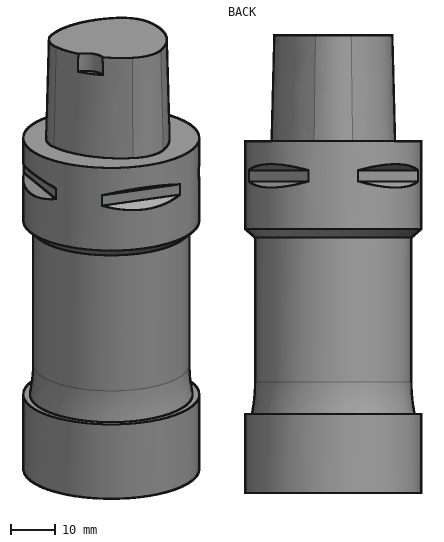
import cadquery as cq
import math

COLLAR_TOP = 18.0
FLARE_TOP = 25.3
FLANGE_LENGTH = 20.0
SHANK_LENGTH = 24.0
TOTAL_LENGTH = 104.0
SHANK_BASE = TOTAL_LENGTH - SHANK_LENGTH
FLANGE_BOTTOM = SHANK_BASE - FLANGE_LENGTH

OUTER_RADIUS = 40.0 / 2
NECK_RADIUS = 35.6 / 2
FLARE_RADIUS = 37.4
FLANGE_CHAMFER_HEIGHT = 2.0

LOBE_COUNT = 3
LOBE_OFFSET = 6.1
LOBE_RADIUS_BASE = 8.7
LOBE_RADIUS_TOP = 8.1
LOBE_HALF_ANGLE = 30
FIRST_LOBE_ANGLE = 90
LOBE_SPACING = LOBE_OFFSET * math.sqrt(3)

NOTCH_RADIUS = 8.0 / 2
NOTCH_INNER_Y = -11.0
NOTCH_DEPTH = 4.3

GROOVE_COUNT = 4
GROOVE_FIRST_ANGLE = 45
GROOVE_HEIGHT = 72.1
GROOVE_FLOOR_DISTANCE = 17.6
GROOVE_FLOOR_WIDTH = 2.5
GROOVE_SIDE_SLOPE = 30


def polar(radius, angle):
    """Point at the given radius and angle in degrees."""
    a = math.radians(angle)
    return cq.Vector(radius * math.cos(a), radius * math.sin(a))


def make_collar():
    """Plain cylindrical collar that the adapter stands on."""
    return cq.Workplane("XY").circle(OUTER_RADIUS).extrude(COLLAR_TOP)


def make_neck_and_flange():
    """Turned neck with a concave flare at its foot and a flange at its head."""
    flare_height = FLARE_TOP - COLLAR_TOP
    flare_center_radius = NECK_RADIUS + FLARE_RADIUS
    full_angle = math.asin(flare_height / FLARE_RADIUS)
    foot_radius = flare_center_radius - FLARE_RADIUS * math.cos(full_angle)
    flare_middle = (
        flare_center_radius - FLARE_RADIUS * math.cos(full_angle / 2),
        FLARE_TOP - FLARE_RADIUS * math.sin(full_angle / 2),
    )
    return (
        cq.Workplane("XZ")
        .moveTo(0, COLLAR_TOP)
        .lineTo(foot_radius, COLLAR_TOP)
        .threePointArc(flare_middle, (NECK_RADIUS, FLARE_TOP))
        .lineTo(NECK_RADIUS, FLANGE_BOTTOM - FLANGE_CHAMFER_HEIGHT)
        .lineTo(OUTER_RADIUS, FLANGE_BOTTOM)
        .lineTo(OUTER_RADIUS, SHANK_BASE)
        .lineTo(0, SHANK_BASE)
        .close()
        .revolve(360, (0, 0, 0), (0, 1, 0))
    )


def add_lobed_outline(sketch, lobe_radius):
    """Closed outline of tangent lobe and flank arcs, with constant width."""
    flank_distance = LOBE_SPACING + lobe_radius - LOBE_OFFSET
    lobe_step = 360 / LOBE_COUNT
    start = polar(LOBE_OFFSET, FIRST_LOBE_ANGLE) + polar(lobe_radius, FIRST_LOBE_ANGLE - LOBE_HALF_ANGLE)
    sketch = sketch.moveTo(start.x, start.y)
    for i in range(LOBE_COUNT):
        tip_angle = FIRST_LOBE_ANGLE + i * lobe_step
        next_angle = tip_angle + lobe_step
        lobe_tip = polar(LOBE_OFFSET + lobe_radius, tip_angle)
        lobe_end = polar(LOBE_OFFSET, tip_angle) + polar(lobe_radius, tip_angle + LOBE_HALF_ANGLE)
        flank_middle = polar(flank_distance, tip_angle + lobe_step / 2)
        flank_end = polar(LOBE_OFFSET, next_angle) + polar(lobe_radius, next_angle - LOBE_HALF_ANGLE)
        sketch = sketch.threePointArc(lobe_tip.toTuple()[:2], lobe_end.toTuple()[:2])
        sketch = sketch.threePointArc(flank_middle.toTuple()[:2], flank_end.toTuple()[:2])
    return sketch.close()


def make_shank():
    """Lobed shank, tapering from the flange to the top."""
    base = add_lobed_outline(cq.Workplane("XY").workplane(offset=SHANK_BASE), LOBE_RADIUS_BASE)
    top = add_lobed_outline(base.workplane(offset=SHANK_LENGTH), LOBE_RADIUS_TOP)
    return top.loft(ruled=True)


def make_notch_cutter():
    """Upright cylinder that scoops the key notch from the shank."""
    return (
        cq.Workplane("XY")
        .workplane(offset=TOTAL_LENGTH - NOTCH_DEPTH)
        .center(0, NOTCH_INNER_Y - NOTCH_RADIUS)
        .circle(NOTCH_RADIUS)
        .extrude(NOTCH_DEPTH)
    )


def make_groove_cutter(angle):
    """Straight trapezoidal bar that opens outward across the flange."""
    groove_depth = OUTER_RADIUS - GROOVE_FLOOR_DISTANCE
    half_floor = GROOVE_FLOOR_WIDTH / 2
    half_mouth = half_floor + groove_depth * math.tan(math.radians(GROOVE_SIDE_SLOPE))
    return (
        cq.Workplane("XZ")
        .moveTo(GROOVE_FLOOR_DISTANCE, GROOVE_HEIGHT - half_floor)
        .lineTo(OUTER_RADIUS, GROOVE_HEIGHT - half_mouth)
        .lineTo(OUTER_RADIUS, GROOVE_HEIGHT + half_mouth)
        .lineTo(GROOVE_FLOOR_DISTANCE, GROOVE_HEIGHT + half_floor)
        .close()
        .extrude(OUTER_RADIUS, both=True)
        .rotate((0, 0, 0), (0, 0, 1), angle)
    )


def make_adapter():
    """Neck, flange and lobed shank in one piece, with notch and grooves."""
    adapter = make_neck_and_flange().union(make_shank()).cut(make_notch_cutter())
    for i in range(GROOVE_COUNT):
        angle = GROOVE_FIRST_ANGLE + i * 360 / GROOVE_COUNT
        adapter = adapter.cut(make_groove_cutter(angle))
    return adapter


collar = make_collar()
adapter = make_adapter()

result = cq.Compound.makeCompound([collar.val(), adapter.solids().val()])